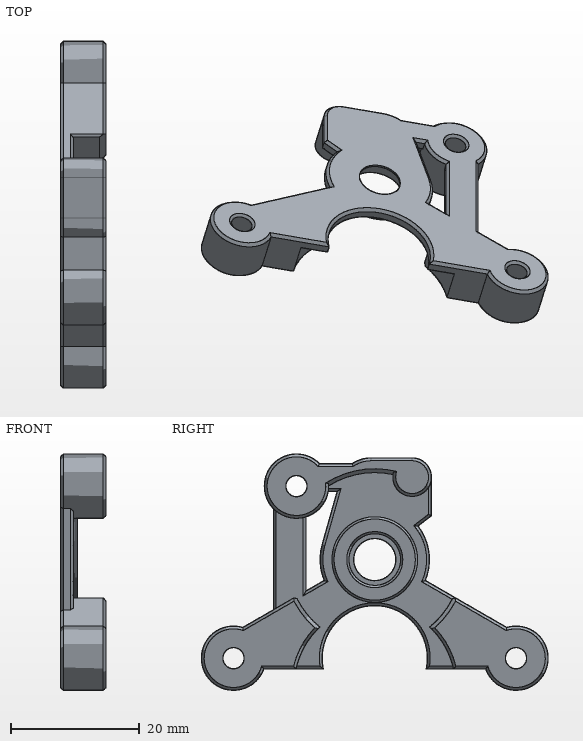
import cadquery as cq
import math

plate_thickness = 2.0
full_depth = 7.1
hub_boss_depth = 2.65
edge_chamfer = 0.45

boss_radius = 5.0
screw_diameter = 3.25
screw_chamfer = 0.4
lower_boss_y = 21.92
upper_boss = (-12.15, 26.7)
lower_bosses = [(-lower_boss_y, 0.0), (lower_boss_y, 0.0)]
boss_centers = lower_bosses + [upper_boss]

hub_z = 15.3
hub_radius = 8.5
hub_boss_diameter = 13.3
hub_boss_chamfer = 0.35
hub_hole_diameter = 6.5
bearing_diameter = 8.0
bearing_lip = 0.3

arm_slope = math.tan(math.radians(30))
arm_apex_z = 16.6
arm_bottom_z = -1.7
opening_radius = 8.15

block_left_y = 8.8
block_top_z = 31.1
block_corner_radius = 3.0
block_foot_z = 22.1
block_notch = (6.7, 20.5)
bridge_top_z = 30.2
bridge_bottom_z = 25.85
bridge_left_y = -3.5
bridge_drop_start_y = -0.55
slot_corner_y = -5.85

column_outer_y = -15.75
column_inner_y = -10.65

gear_clearance_radius = 13.5
clearance_edge_chamfer = 0.35
rim_bevel_depth = 1.0
rim_bevel_width = 0.6
opening_clearance_radius = 12.5
opening_clearance_z = -4.3


def profile(y, z, start=0.0):
    """Sketch plane facing +X whose local x and y are the part's Y and Z."""
    return cq.Workplane("YZ", origin=(start, y, z))


def disk(y, z, radius, start, end):
    return profile(y, z, start).circle(radius).extrude(end - start)


def arm_top_z(y):
    return arm_apex_z - arm_slope * abs(y)


def arms(start, end):
    outline = [
        (-lower_boss_y, arm_bottom_z),
        (lower_boss_y, arm_bottom_z),
        (lower_boss_y, arm_top_z(lower_boss_y)),
        (0, arm_apex_z),
        (-lower_boss_y, arm_top_z(lower_boss_y)),
    ]
    return profile(0, 0, start).polyline(outline).close().extrude(end - start)


def hub_tangent_point():
    """Point where the slot's slanted edge runs tangentially into the hub."""
    rise = bridge_bottom_z - hub_z
    distance = math.hypot(slot_corner_y, rise)
    angle = math.atan2(rise, slot_corner_y) + math.acos(hub_radius / distance)
    return hub_radius * math.cos(angle), hub_z + hub_radius * math.sin(angle)


def block(start, end):
    """Upper block, its sloped shoulder and the bridge to the upper boss."""
    corner_y = block_left_y - block_corner_radius
    corner_z = block_top_z - block_corner_radius
    diagonal = block_corner_radius * math.sqrt(0.5)
    drop_run = bridge_drop_start_y - bridge_left_y
    drop = block_top_z - bridge_top_z
    drop_radius = (drop_run**2 + drop**2) / (2 * drop)
    half_angle = math.asin(drop_run / drop_radius) / 2
    drop_middle = (
        bridge_drop_start_y - drop_radius * math.sin(half_angle),
        block_top_z - drop_radius * (1 - math.cos(half_angle)),
    )
    return (
        profile(0, 0, start)
        .moveTo(0, hub_z)
        .lineTo(*block_notch)
        .lineTo(block_left_y, block_foot_z)
        .lineTo(block_left_y, corner_z)
        .threePointArc((corner_y + diagonal, corner_z + diagonal), (corner_y, block_top_z))
        .lineTo(bridge_drop_start_y, block_top_z)
        .threePointArc(drop_middle, (bridge_left_y, bridge_top_z))
        .lineTo(upper_boss[0], bridge_top_z)
        .lineTo(upper_boss[0], bridge_bottom_z)
        .lineTo(slot_corner_y, bridge_bottom_z)
        .lineTo(*hub_tangent_point())
        .close()
        .extrude(end - start)
    )


def column(start, end):
    width = column_inner_y - column_outer_y
    bottom_z = arm_top_z(column_outer_y) - 1
    height = upper_boss[1] - bottom_z
    return (
        profile(column_outer_y, bottom_z, start)
        .rect(width, height, centered=False)
        .extrude(end - start)
    )


def plate():
    """Thin plate chamfered on both faces: a chamfered half and its mirror image."""
    middle = plate_thickness / 2
    span = (0, middle)
    half = arms(*span).union(block(*span)).union(column(*span))
    half = half.union(disk(0, hub_z, hub_radius, *span))
    for center in boss_centers:
        half = half.union(disk(*center, boss_radius, *span))
    half = half.cut(disk(0, 0, opening_radius, *span))
    half = half.faces("<X").edges().chamfer(edge_chamfer)
    return half.union(half.mirror("YZ", (middle, 0, 0)))


def open_clearances(solid):
    """Remove the gear clearance and the widened opening from a full-depth solid."""
    span = (edge_chamfer, full_depth)
    solid = solid.cut(disk(0, hub_z, gear_clearance_radius, *span))
    return solid.cut(disk(0, opening_clearance_z, opening_clearance_radius, *span))


def rim_bevel():
    """Cone that bevels the back rim of the gear clearance."""
    return (
        profile(0, hub_z, full_depth - rim_bevel_depth)
        .circle(gear_clearance_radius)
        .workplane(offset=rim_bevel_depth)
        .circle(gear_clearance_radius + rim_bevel_width)
        .loft()
    )


def arm_crest_selector():
    """Box around the edges where the arm tops meet the gear clearance."""
    z_low = arm_top_z(gear_clearance_radius)
    return cq.selectors.BoxSelector(
        (0, -gear_clearance_radius, z_low),
        (full_depth, gear_clearance_radius, arm_apex_z),
    )


def chamfer_back(solid, size=edge_chamfer):
    return solid.faces(">X").edges().chamfer(size)


def thick_arms(start, end):
    """Full-depth outer ends of the two arms with their screw bosses."""
    solid = open_clearances(arms(start, end))
    solid = solid.edges(arm_crest_selector()).chamfer(clearance_edge_chamfer)
    for center in lower_bosses:
        solid = solid.union(disk(*center, boss_radius, start, end))
    return chamfer_back(solid).cut(rim_bevel())


def top_wall(start, end):
    """Full-depth wall over the gear clearance, from a round corner post to the upper boss."""
    post_y = block_left_y - block_corner_radius
    post_z = block_top_z - block_corner_radius
    post = disk(post_y, post_z, block_corner_radius, start, end)
    boss = disk(*upper_boss, boss_radius, start, end)
    below_post = (
        profile(post_y, hub_z, start)
        .rect(block_corner_radius, post_z - hub_z, centered=False)
        .extrude(end - start)
    )
    wall = chamfer_back(block(start, end).union(boss))
    wall = open_clearances(wall).cut(below_post).cut(rim_bevel())
    return wall.union(chamfer_back(post)).union(chamfer_back(boss))


def hub_bore():
    """Through hole that widens into a bearing pocket behind a thin front lip."""
    hole = disk(0, hub_z, hub_hole_diameter / 2, 0, hub_boss_depth)
    return hole.union(disk(0, hub_z, bearing_diameter / 2, bearing_lip, hub_boss_depth))


def hub_boss():
    """Low ring around the bearing pocket, chamfered on both edges of its back face."""
    boss = disk(0, hub_z, hub_boss_diameter / 2, edge_chamfer, hub_boss_depth)
    return chamfer_back(boss.cut(hub_bore()), hub_boss_chamfer)


def screw_hole(y, z):
    """Through hole with a chamfered mouth on the front face."""
    radius = screw_diameter / 2
    mouth = profile(y, z).circle(radius + screw_chamfer).extrude(screw_chamfer, taper=45)
    return disk(y, z, radius, 0, full_depth).union(mouth)


thick_span = (edge_chamfer, full_depth)
result = plate().cut(hub_bore()).union(thick_arms(*thick_span)).union(top_wall(*thick_span))
result = result.union(hub_boss())
for center in boss_centers:
    result = result.cut(screw_hole(*center))